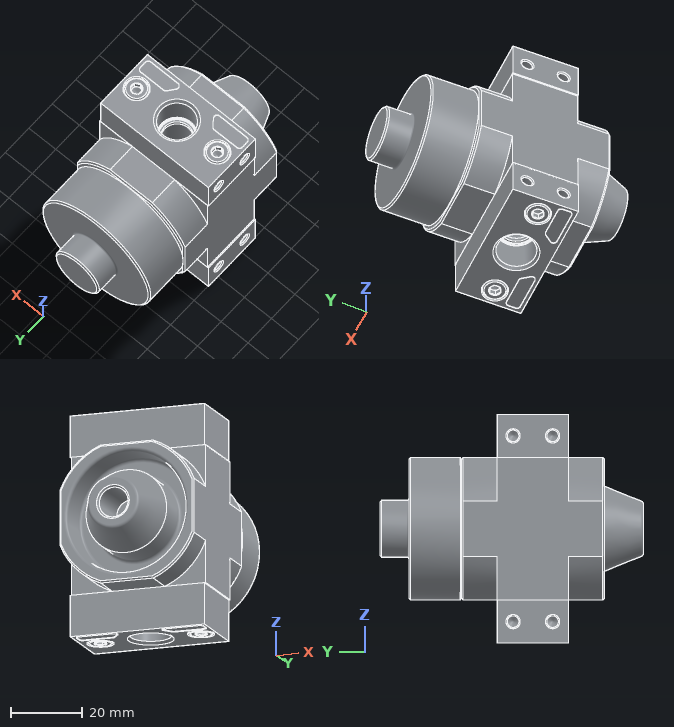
import cadquery as cq
import math


BODY_SIZE = 40.0
BODY_FRONT = -BODY_SIZE / 2
BODY_REAR = BODY_SIZE / 2
MIDDLE_DEPTH = BODY_SIZE / 2
BARREL_DIAMETER = 42.95
EDGE_CHAMFER = 0.5
ROUNDING = 1.0

RECESS_DIAMETER = 35.0
RECESS_DEPTH = 9.95
NOZZLE_DIAMETER = 24.0
NOZZLE_TIP_DIAMETER = 15.05
NOZZLE_TIP = -31.0
NOZZLE_BORE_DIAMETER = 8.55
NOZZLE_BORE_MOUTH = 9.75
NOZZLE_BORE_DEPTH = 15.0

CAP_DIAMETER = 40.0
CAP_FRONT = 20.3
CAP_REAR = 34.7
NECK_DIAMETER = 35.4
SHAFT_DIAMETER = 16.0
SHAFT_END = 42.8

TOTAL_HEIGHT = 64.0
BLOCK_HEIGHT = (TOTAL_HEIGHT - BODY_SIZE) / 2
BLOCK_SHIFT = -0.4
BLOCK_SIDE = BLOCK_SHIFT - BODY_SIZE / 2
PORT_MOUTH = 13.1
PORT_THREAD_DIAMETER = 11.45
PORT_THREAD_DEPTH = 9.95
PORT_STEP_DIAMETER = 11.0
PORT_STEP_DEPTH = 0.5
PORT_LEDGE_DIAMETER = 10.6
PORT_DIAMETER = 9.2

SIDE_HOLE_DIAMETER = 3.25
SIDE_HOLE_MOUTH = 4.0
SIDE_HOLE_DEPTH = 8.0
SIDE_HOLE_SPACING = 11.1
DRILL_ANGLE = 118

LABEL_OUTER = 18.9
LABEL_INNER_BACK = 8.85
LABEL_INNER_FRONT = 5.6
LABEL_BACK = -4.65
LABEL_FRONT = -8.85
LABEL_DEPTH = 0.2

SCREW_SPACING = 29.95
HEAD_DIAMETER = 7.0
HEAD_HEIGHT = 4.0
HEAD_CHAMFER = 0.45
COUNTERBORE_DIAMETER = 7.5
SHANK_DIAMETER = 4.0
SHANK_IN_BODY = 8.0
SOCKET_FLATS = 3.0
SOCKET_DEPTH = 2.0
HEXAGON_TURN = 30
SOCKET_MOUTH = 3.55

BODY_TOP = BODY_SIZE / 2
BLOCK_TOP = TOTAL_HEIGHT / 2
SCREW_PLACES = [(-SCREW_SPACING / 2, 0), (SCREW_SPACING / 2, 0)]
SCREW_LENGTH = BLOCK_HEIGHT + SHANK_IN_BODY


def drill_tip_depth(diameter):
    """Height of the cone that a drill leaves at the end of a blind hole."""
    return diameter / 2 / math.tan(math.radians(DRILL_ANGLE / 2))


def below(solid):
    """The same solid mirrored to the underside."""
    return solid.mirror("XY")



def body_blank():
    """Flatted barrel with chamfered ends, and the square middle."""
    barrel = cq.Workplane("XZ").circle(BARREL_DIAMETER / 2).extrude(BODY_SIZE / 2, both=True)
    barrel = barrel.intersect(cq.Workplane().box(BODY_SIZE, BODY_SIZE, BODY_SIZE))
    barrel = barrel.faces("<Y or >Y").chamfer(EDGE_CHAMFER)
    return barrel.union(cq.Workplane().box(BODY_SIZE, MIDDLE_DEPTH, BODY_SIZE))


def recess():
    """Front recess with a rounded mouth and a rounded floor edge."""
    floor = BODY_FRONT + RECESS_DEPTH
    radius = RECESS_DIAMETER / 2
    mouth_start = BODY_FRONT + ROUNDING
    bend = ROUNDING * math.sqrt(0.5)
    profile = (
        cq.Workplane("XY")
        .moveTo(0, BODY_FRONT)
        .lineTo(radius + ROUNDING, BODY_FRONT)
        .threePointArc((radius + ROUNDING - bend, mouth_start - bend), (radius, mouth_start))
        .lineTo(radius, floor - ROUNDING)
        .threePointArc(
            (radius - ROUNDING + bend, floor - ROUNDING + bend), (radius - ROUNDING, floor)
        )
        .lineTo(0, floor)
        .close()
    )
    return profile.revolve(360, (0, 0, 0), (0, 1, 0))


def nozzle():
    """Cylinder up to the front face, then a cone; rounded tip, blended into the recess floor."""
    floor = BODY_FRONT + RECESS_DEPTH
    radius = NOZZLE_DIAMETER / 2
    bend = ROUNDING * math.sqrt(0.5)
    blend_end = floor - ROUNDING
    profile = (
        cq.Workplane("XY")
        .moveTo(0, NOZZLE_TIP)
        .lineTo(NOZZLE_TIP_DIAMETER / 2, NOZZLE_TIP)
        .lineTo(radius, BODY_FRONT)
        .lineTo(radius, blend_end)
        .threePointArc((radius + ROUNDING - bend, blend_end + bend), (radius + ROUNDING, floor))
        .lineTo(0, floor)
        .close()
    )
    return profile.revolve(360, (0, 0, 0), (0, 1, 0)).faces("<Y").edges().fillet(ROUNDING)


def nozzle_bore():
    """Blind bore with a countersunk mouth."""
    radius = NOZZLE_BORE_DIAMETER / 2
    mouth_radius = NOZZLE_BORE_MOUTH / 2
    bore_end = NOZZLE_TIP + NOZZLE_BORE_DEPTH
    outline = [
        (0, NOZZLE_TIP),
        (mouth_radius, NOZZLE_TIP),
        (radius, NOZZLE_TIP + mouth_radius - radius),
        (radius, bore_end),
        (0, bore_end),
    ]
    return cq.Workplane("XY").polyline(outline).close().revolve(360, (0, 0, 0), (0, 1, 0))


def body_screw_holes():
    plane = cq.Workplane("XY", origin=(0, 0, BODY_TOP))
    return plane.pushPoints(SCREW_PLACES).circle(SHANK_DIAMETER / 2).extrude(-SHANK_IN_BODY)


def make_body():
    body = body_blank().cut(recess()).union(nozzle()).cut(nozzle_bore())
    body = body.cut(cq.Workplane().circle(PORT_DIAMETER / 2).extrude(BODY_SIZE, both=True))
    return body.cut(body_screw_holes()).cut(below(body_screw_holes()))



def make_cap():
    """Disc with a shaft on its rear and a narrower neck that stands on the body."""
    disc_radius = CAP_DIAMETER / 2
    shaft_radius = SHAFT_DIAMETER / 2
    foot_bend = EDGE_CHAMFER * (1 - math.sqrt(0.5))
    profile = (
        cq.Workplane("XY")
        .moveTo(0, BODY_REAR)
        .lineTo(NECK_DIAMETER / 2, BODY_REAR)
        .lineTo(NECK_DIAMETER / 2, CAP_FRONT)
        .lineTo(disc_radius, CAP_FRONT)
        .lineTo(disc_radius, CAP_REAR - EDGE_CHAMFER)
        .lineTo(disc_radius - EDGE_CHAMFER, CAP_REAR)
        .lineTo(shaft_radius + EDGE_CHAMFER, CAP_REAR)
        .threePointArc(
            (shaft_radius + foot_bend, CAP_REAR + foot_bend),
            (shaft_radius, CAP_REAR + EDGE_CHAMFER),
        )
        .lineTo(shaft_radius, SHAFT_END - EDGE_CHAMFER)
        .lineTo(shaft_radius - EDGE_CHAMFER, SHAFT_END)
        .lineTo(0, SHAFT_END)
        .close()
    )
    return profile.revolve(360, (0, 0, 0), (0, 1, 0))



def port():
    """Stepped port through a block, with a countersunk mouth."""
    thread_end = BLOCK_TOP - PORT_THREAD_DEPTH
    mouth_depth = (PORT_MOUTH - PORT_THREAD_DIAMETER) / 2
    step_end = thread_end - PORT_STEP_DEPTH
    ledge = step_end - (PORT_STEP_DIAMETER - PORT_LEDGE_DIAMETER) / 2
    outline = [
        (0, BLOCK_TOP),
        (PORT_MOUTH / 2, BLOCK_TOP),
        (PORT_THREAD_DIAMETER / 2, BLOCK_TOP - mouth_depth),
        (PORT_THREAD_DIAMETER / 2, thread_end),
        (PORT_STEP_DIAMETER / 2, thread_end),
        (PORT_STEP_DIAMETER / 2, step_end),
        (PORT_LEDGE_DIAMETER / 2, ledge),
        (PORT_DIAMETER / 2, ledge),
        (PORT_DIAMETER / 2, BODY_TOP),
        (0, BODY_TOP),
    ]
    return cq.Workplane("XZ").polyline(outline).close().revolve(360, (0, 0, 0), (0, 1, 0))


def side_hole():
    """Blind hole along +X from the origin, countersunk at its mouth and with a drill point."""
    radius = SIDE_HOLE_DIAMETER / 2
    mouth = SIDE_HOLE_MOUTH / 2
    outline = [
        (0, 0),
        (0, mouth),
        (mouth - radius, radius),
        (SIDE_HOLE_DEPTH, radius),
        (SIDE_HOLE_DEPTH + drill_tip_depth(SIDE_HOLE_DIAMETER), 0),
    ]
    return cq.Workplane("XY").polyline(outline).close().revolve(360, (0, 0, 0), (1, 0, 0))


def label_pocket(side):
    """Shallow pocket with one slanted end; side is -1 for the left pocket and 1 for the right."""
    outline = [
        (LABEL_OUTER, LABEL_BACK),
        (LABEL_INNER_BACK, LABEL_BACK),
        (LABEL_INNER_FRONT, LABEL_FRONT),
        (LABEL_OUTER, LABEL_FRONT),
    ]
    points = [(side * x, y) for x, y in outline]
    plane = cq.Workplane("XY", origin=(BLOCK_SHIFT, 0, BLOCK_TOP))
    return plane.polyline(points).close().extrude(-LABEL_DEPTH).edges("|Z").fillet(ROUNDING)


def screw_clearance():
    plane = cq.Workplane("XY", origin=(0, 0, BLOCK_TOP)).pushPoints(SCREW_PLACES)
    heads = plane.circle(COUNTERBORE_DIAMETER / 2).extrude(-HEAD_HEIGHT)
    shanks = plane.circle(SHANK_DIAMETER / 2).extrude(-BLOCK_HEIGHT)
    return heads.union(shanks)


def make_block():
    """The upper port block."""
    middle = (BODY_TOP + BLOCK_TOP) / 2
    block = cq.Workplane().box(BODY_SIZE, MIDDLE_DEPTH, BLOCK_HEIGHT)
    block = block.translate((BLOCK_SHIFT, 0, middle)).cut(port()).cut(screw_clearance())
    for side in (-1, 1):
        hole_place = (BLOCK_SIDE, side * SIDE_HOLE_SPACING / 2, middle)
        block = block.cut(side_hole().translate(hole_place))
        block = block.cut(label_pocket(side))
    return block



def make_screw(place):
    """Socket head screw in the upper block, its head flush with the outer face."""
    plane = cq.Workplane("XY", origin=(*place, BLOCK_TOP))
    head = plane.circle(HEAD_DIAMETER / 2).extrude(-HEAD_HEIGHT).faces(">Z").chamfer(HEAD_CHAMFER)
    screw = head.union(plane.circle(SHANK_DIAMETER / 2).extrude(-SCREW_LENGTH))
    socket_corners = SOCKET_FLATS / math.cos(math.radians(HEXAGON_TURN))
    socket = plane.transformed(rotate=(0, 0, HEXAGON_TURN)).polygon(6, socket_corners).extrude(-SOCKET_DEPTH)
    screw = screw.cut(socket)
    mouth_drop = (SOCKET_MOUTH - SOCKET_FLATS) / 2
    mouth = cq.Solid.makeCone(
        SOCKET_MOUTH / 2, SOCKET_FLATS / 2, mouth_drop, cq.Vector(*place, BLOCK_TOP), cq.Vector(0, 0, -1)
    )
    socket_floor = cq.Vector(*place, BLOCK_TOP - SOCKET_DEPTH)
    point = cq.Solid.makeCone(
        SOCKET_FLATS / 2, 0, drill_tip_depth(SOCKET_FLATS), socket_floor, cq.Vector(0, 0, -1)
    )
    return screw.cut(cq.Workplane(mouth)).cut(cq.Workplane(point))


body = make_body()
cap = make_cap()
upper_block = make_block()
lower_block = below(upper_block)
upper_screws = [make_screw(place) for place in SCREW_PLACES]
lower_screws = [below(screw) for screw in upper_screws]

result = cq.Compound.makeCompound(
    [
        body.solids().val(),
        cap.solids().val(),
        upper_block.solids().val(),
        lower_block.solids().val(),
        *[screw.solids().val() for screw in upper_screws + lower_screws],
    ]
)